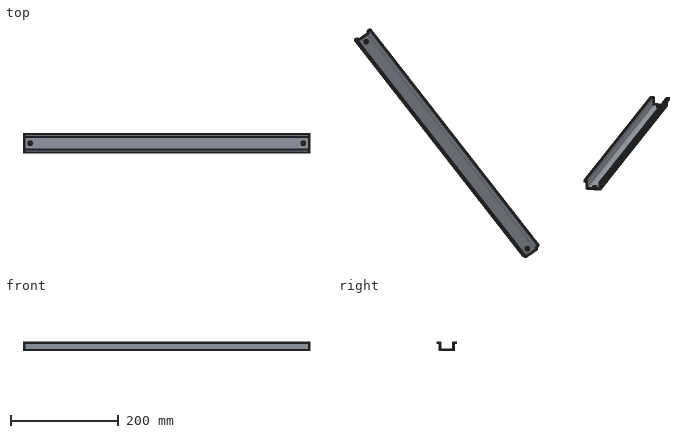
import cadquery as cq

length = 529.0
width = 35.0
height = 15.0

wall = 1.5
channel_width = 27.0
inner_bend = 0.3
outer_bend = inner_bend + wall

hole_diameter = 6.0
hole_end_distance = 11.0


def rail_body():
    """Extrude the sharp-cornered hat profile, then round its bends."""
    flange_y = width / 2
    outside_y = channel_width / 2
    inside_y = outside_y - wall
    flange_z = height - wall
    half_profile = [
        (flange_y, height),
        (flange_y, flange_z),
        (outside_y, flange_z),
        (outside_y, 0),
    ]
    half_inside = [(inside_y, wall), (inside_y, height)]
    mirrored = [(-y, z) for y, z in reversed(half_profile)]
    mirrored_inside = [(-y, z) for y, z in reversed(half_inside)]
    outline = half_profile + mirrored + mirrored_inside + half_inside

    body = (
        cq.Workplane("YZ", origin=(-length / 2, 0, 0))
        .polyline(outline)
        .close()
        .extrude(length)
    )
    body = round_bends(body, inside_y, wall, inner_bend)
    body = round_bends(body, outside_y, flange_z, inner_bend)
    body = round_bends(body, outside_y, 0, outer_bend)
    return round_bends(body, inside_y, height, outer_bend)


def round_bends(body, y, z, radius):
    """Fillet the pair of lengthwise edges at (+y, z) and (-y, z)."""
    for side in (-1, 1):
        edge = cq.selectors.NearestToPointSelector((0, side * y, z))
        body = body.edges("|X").edges(edge).fillet(radius)
    return body


def mounting_holes():
    """One through hole in the web near each end."""
    hole_x = length / 2 - hole_end_distance
    return (
        cq.Workplane("XY")
        .pushPoints([(-hole_x, 0), (hole_x, 0)])
        .circle(hole_diameter / 2)
        .extrude(wall)
    )


result = rail_body().cut(mounting_holes()).translate((0, 0, -height / 2))